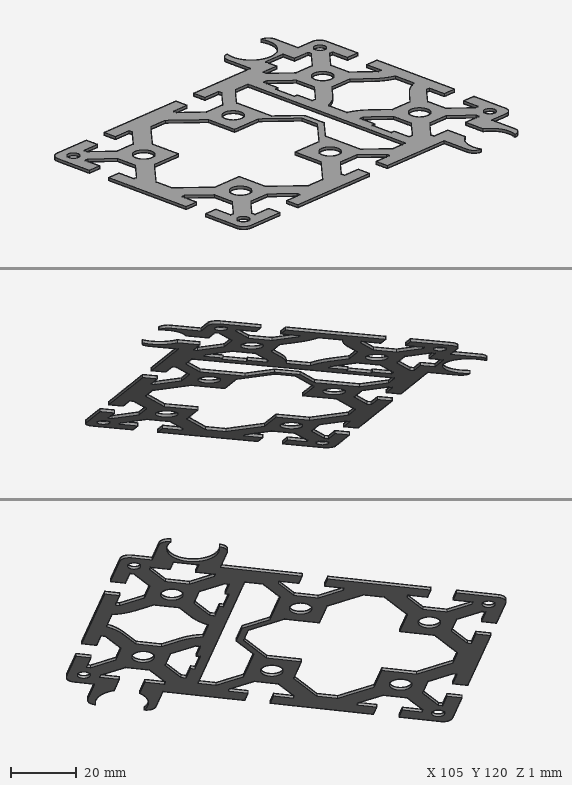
import cadquery as cq
import math

length = 120.0
cell = length / 3
half_cell = cell / 2
width = 2 * cell
thickness = 1.0
corner_radius = 3.0

cell_hole_diameter = 6.8
corner_hole_diameter = 4.0
corner_hole_inset = 4.9

slot_floor = 7.7
slot_floor_half_width = 3.7
slot_pocket_half_width = 10.1
slot_mouth_half_width = 4.0
slot_lip = 4.7
inner_pocket_end = 15.6
inner_mouth_end = 16.9

span = 105.0
arm_height = 21.2
arm_tip_radius = 3.0
bite_radius = 8.0
bite_center_x = 49.5

gap_half_width = 12.5
gap_side_half_height = 4.0
gap_half_height = 15.0
gap_end_half_width = 3.8
gap_curve_start_x = 7.7

cross_reach = 32.5
cross_tip_half_width = 3.2
cross_arm_half_width = gap_half_width

window_half_width = cross_reach
window_top = 20.2
window_side_bottom = 14.5
window_floor = 7.5
window_hump_top = 14.6
window_hump_half_width = 4.1

top_row = cell
middle_row = 0.0
bottom_row = -cell
edge_pocket_end = half_cell - slot_lip
left, right, up, down = 180, 0, 90, -90


def prism(outline):
    return outline.close().extrude(thickness)


def block(size_x, size_y, center_y):
    return cq.Workplane("XY").center(0, center_y).rect(size_x, size_y).extrude(thickness)


def discs(points, diameter):
    return cq.Workplane("XY").pushPoints(points).circle(diameter / 2).extrude(thickness)


def t_slot(center, direction, pocket_end=edge_pocket_end, mouth_end=half_cell):
    """Slot widening at 45 degrees from its floor to a pocket, then narrowing to a mouth."""
    taper_end = slot_floor + slot_pocket_half_width - slot_floor_half_width
    upper = [
        (slot_floor, slot_floor_half_width),
        (taper_end, slot_pocket_half_width),
        (pocket_end, slot_pocket_half_width),
        (pocket_end, slot_mouth_half_width),
        (mouth_end, slot_mouth_half_width),
    ]
    lower = [(x, -y) for x, y in reversed(upper)]
    slot = prism(cq.Workplane("XY").polyline(upper + lower))
    return slot.rotate((0, 0, 0), (0, 0, 1), direction).translate((*center, 0))


def body():
    """Rounded plate with the two side arms."""
    plate = block(width, length, 0).edges("|Z").fillet(corner_radius)
    arms = block(span, arm_height, top_row).edges("|Z").fillet(arm_tip_radius)
    bites = discs([(side * bite_center_x, top_row) for side in (-1, 1)], 2 * bite_radius)
    return plate.union(arms).cut(bites)


def top_opening():
    """Tall opening whose 45 degree flanks curve tangentially towards its two ends."""
    start_x = gap_curve_start_x
    start_y = gap_side_half_height + gap_half_width - start_x
    chord_x = start_x - gap_end_half_width
    chord_y = gap_half_height - start_y
    rise = (chord_y - chord_x) / math.sqrt(2)
    radius = (chord_x**2 + chord_y**2) / (2 * rise)

    outline = (
        cq.Workplane("XY")
        .moveTo(gap_half_width, -gap_side_half_height)
        .lineTo(gap_half_width, gap_side_half_height)
        .lineTo(start_x, start_y)
        .radiusArc((gap_end_half_width, gap_half_height), radius)
        .lineTo(-gap_end_half_width, gap_half_height)
        .radiusArc((-start_x, start_y), radius)
        .lineTo(-gap_half_width, gap_side_half_height)
        .lineTo(-gap_half_width, -gap_side_half_height)
        .lineTo(-start_x, -start_y)
        .radiusArc((-gap_end_half_width, -gap_half_height), radius)
        .lineTo(gap_end_half_width, -gap_half_height)
        .radiusArc((start_x, -start_y), radius)
    )
    return prism(outline).translate((0, top_row, 0))


def cross_opening():
    """Four equal arms with 45 degree tapered tips."""
    shoulder = cross_reach - (cross_arm_half_width - cross_tip_half_width)
    arm = [
        (cross_arm_half_width, -cross_arm_half_width),
        (shoulder, -cross_arm_half_width),
        (cross_reach, -cross_tip_half_width),
        (cross_reach, cross_tip_half_width),
        (shoulder, cross_arm_half_width),
    ]
    points = []
    for _ in range(4):
        points += arm
        arm = [(-y, x) for x, y in arm]
    return prism(cq.Workplane("XY").polyline(points)).translate((0, -half_cell, 0))


def window_opening():
    """Wide opening with 45 degree lower corners and a hump in its floor."""
    floor_outer = window_half_width - (window_side_bottom - window_floor)
    floor_inner = window_hump_half_width + (window_hump_top - window_floor)
    right_half = [
        (window_half_width, window_top),
        (window_half_width, window_side_bottom),
        (floor_outer, window_floor),
        (floor_inner, window_floor),
        (window_hump_half_width, window_hump_top),
    ]
    left_half = [(-x, y) for x, y in reversed(right_half)]
    return prism(cq.Workplane("XY").polyline(right_half + left_half))


result = body()
for opening in (top_opening(), window_opening(), cross_opening()):
    result = result.cut(opening)

clamp_mouth_end = bite_center_x - half_cell
for column, outward in ((-half_cell, left), (half_cell, right)):
    for row in (top_row, middle_row, bottom_row):
        result = result.cut(t_slot((column, row), outward))
    result = result.cut(t_slot((column, top_row), up))
    result = result.cut(t_slot((column, top_row), down, inner_pocket_end, inner_mouth_end))
    result = result.cut(t_slot((column, bottom_row), down))

result = result.cut(t_slot((half_cell, top_row), right, mouth_end=clamp_mouth_end))

cell_centers = [(x, y) for x in (-half_cell, half_cell) for y in (top_row, middle_row, bottom_row)]
corner_x = width / 2 - corner_hole_inset
corner_y = length / 2 - corner_hole_inset
corner_centers = [(x, y) for x in (-corner_x, corner_x) for y in (-corner_y, corner_y)]
result = result.cut(discs(cell_centers, cell_hole_diameter))
result = result.cut(discs(corner_centers, corner_hole_diameter))